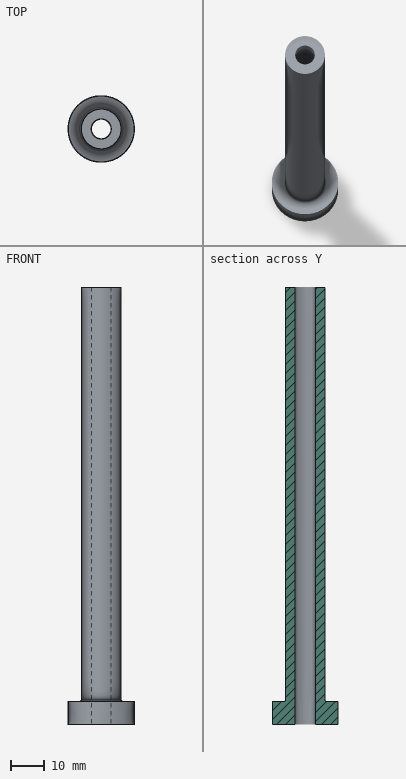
import cadquery as cq

total_length = 132.0
head_diameter = 20.0
head_height = 7.0
shaft_diameter = 12.0
bore_diameter = 6.0
neck_fillet_radius = 0.5

head = cq.Workplane("XY").circle(head_diameter / 2).extrude(head_height)

sleeve = head.faces(">Z").workplane().circle(shaft_diameter / 2).extrude(total_length - head_height)
neck_edge = cq.selectors.RadiusNthSelector(0)
sleeve = sleeve.faces("<Z[1]").edges(neck_edge).fillet(neck_fillet_radius)

bore = cq.Workplane("XY").circle(bore_diameter / 2).extrude(total_length)

result = sleeve.cut(bore)